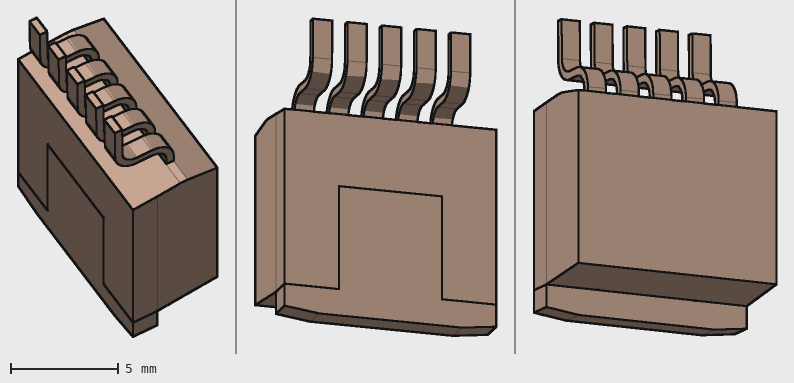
import cadquery as cq
import math

width = 10.4
housing_depth = 4.64
housing_bottom = 1.3
housing_front_top = 9.87
housing_back_top = 9.95
housing_back_bottom = 1.65
ridge_z = 10.16
ridge_back = 3.0
ridge_front = 2.6
back_inset = 0.06

tab_thickness = 1.34
tongue_width = 5.06
tongue_top = 6.34
corner_run = 1.7
corner_rise = 0.22

lead_count = 5
lead_pitch = 1.7
lead_width = 0.95
lead_thickness = 0.4
lead_front = -0.19
lead_top = 14.37
lead_tilt = 0.8
foot_length = 1.9
shelf_length = 0.8
stub_length = 0.57
bend_inner_radius = 0.78
bend_outer_radius = bend_inner_radius + lead_thickness


def make_tab():
    """Plate with clipped lower corners and a narrower tongue that reaches up into the housing."""
    half_width = width / 2
    half_tongue = tongue_width / 2
    outline = [
        (-half_width + corner_run, 0),
        (half_width - corner_run, 0),
        (half_width, corner_rise),
        (half_width, housing_bottom),
        (half_tongue, housing_bottom),
        (half_tongue, tongue_top),
        (-half_tongue, tongue_top),
        (-half_tongue, housing_bottom),
        (-half_width, housing_bottom),
        (-half_width, corner_rise),
    ]
    return cq.Workplane("XZ").polyline(outline).close().extrude(-tab_thickness)


def make_block():
    """Housing side profile, limited to a plan whose sides lean inward behind the tab."""
    profile = [
        (0, housing_bottom),
        (tab_thickness, housing_bottom),
        (housing_depth, housing_back_bottom),
        (housing_depth, housing_back_top),
        (ridge_back, ridge_z),
        (ridge_front, ridge_z),
        (0, housing_front_top),
    ]
    half_width = width / 2
    plan = [
        (-half_width, 0),
        (half_width, 0),
        (half_width, tab_thickness),
        (half_width - back_inset, housing_depth),
        (-half_width + back_inset, housing_depth),
        (-half_width, tab_thickness),
    ]
    profile_prism = cq.Workplane("YZ").polyline(profile).close().extrude(half_width, both=True)
    plan_prism = cq.Workplane("XY").polyline(plan).close().extrude(ridge_z)
    return profile_prism.intersect(plan_prism)


def make_lead(x):
    """S-bent strip, laid out upright from the rear corner of its tip, then leaned about that corner."""
    tip_y = lead_front + lead_thickness * math.cos(math.radians(lead_tilt))
    profile = (
        cq.Workplane("YZ", origin=(x - lead_width / 2, tip_y, lead_top))
        .line(0, -foot_length)
        .tangentArcPoint((bend_inner_radius, -bend_inner_radius))
        .line(shelf_length, 0)
        .tangentArcPoint((bend_outer_radius, -bend_outer_radius))
        .line(0, -stub_length)
        .line(-lead_thickness, 0)
        .line(0, stub_length)
        .tangentArcPoint((-bend_inner_radius, bend_inner_radius))
        .line(-shelf_length, 0)
        .tangentArcPoint((-bend_outer_radius, bend_outer_radius))
        .line(0, foot_length)
        .close()
    )
    upright = profile.extrude(lead_width)
    return upright.rotate((0, tip_y, lead_top), (1, tip_y, lead_top), lead_tilt)


def make_housing(tab):
    """Block with the tab's recess cut out and the leads standing on its ridge."""
    housing = make_block().cut(tab)
    for index in range(lead_count):
        x = (index - (lead_count - 1) / 2) * lead_pitch
        housing = housing.union(make_lead(x))
    return housing


tab = make_tab()
housing = make_housing(tab)

result = cq.Compound.makeCompound([housing.val(), tab.val()])